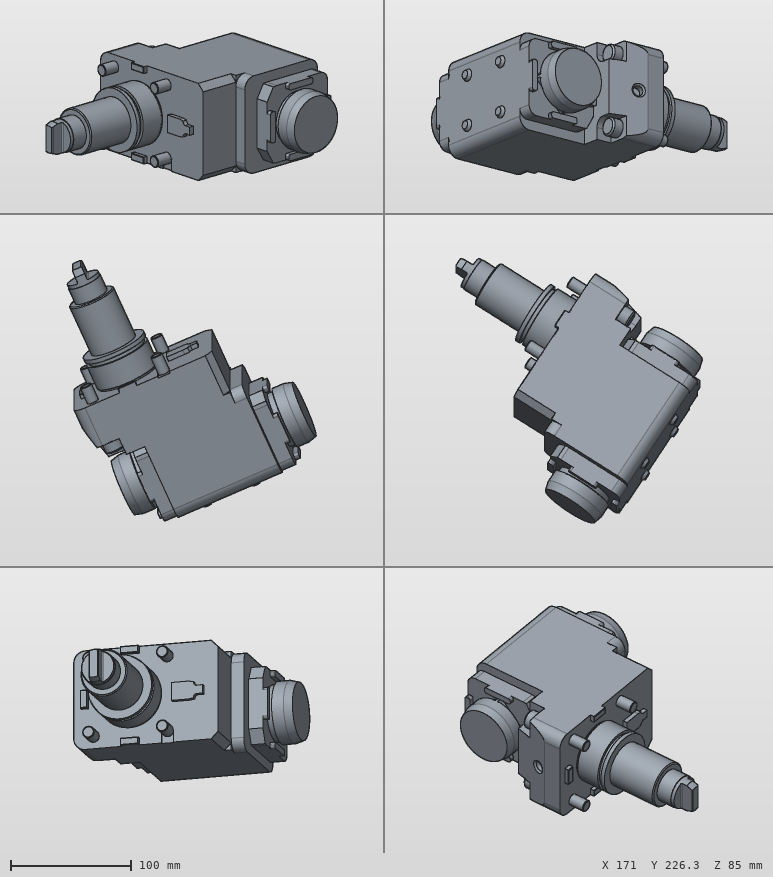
import cadquery as cq
import math


BODY_HEIGHT = 85.0
HALF_HEIGHT = BODY_HEIGHT / 2
CORNER_RADIUS = 10.0
BACK_Y = 119.1

FLANGE_LEFT = -49.2
FLANGE_RIGHT = 76.0
FLANGE_REAR_Y = 37.0
SHOULDER_X = -24.0
SHOULDER_Y = 50.5
SLANT_START_Y = 16.3
SLANT_ANGLE = 15.0
FLANGE_CORNER_CHAMFER = 6.0

HOUSING_CENTER_X = 39.7
HOUSING_HALF_WIDTH = 47.2

BOLT_OFFSET = 32.0
BOLT_DIAMETER = 10.0
BOLT_PROTRUSION = 14.8
BOLT_TIP_CHAMFER = 0.6
SCREW_HEAD_DIAMETER = 16.0
SCREW_HEAD_HEIGHT = 10.0
SCREW_HEAD_CHAMFER = 1.4
SCREW_SEAT_Y = 35.5
RELIEF_WIDTH = 10.5
RELIEF_DEPTH = 1.6

KEY_HEIGHT = 4.0
KEY_LENGTH = 15.4
KEY_WIDTH = 6.0
KEY_EDGE_CHAMFER = 0.5
SIDE_KEY_X = -39.4

PORT_Y = 24.6
PORT_DIAMETER = 8.8
PORT_MOUTH_DIAMETER = 12.0
PORT_DEPTH = 8.0

OUTPUT_Y = 85.0
PLATE_HALF_SIZE = 33.7
PLATE_THICKNESS = 12.2
PLATE_CORNER_RADIUS = 8.0
PLATE_CHAMFER_Y = 7.0
PLATE_CHAMFER_Z = 12.1
PLATE_BEVEL_LENGTH = 3.4
PLATE_BEVEL_DROP = 0.4
TAB_LENGTH = 27.2
TAB_WIDTH = 5.6
TAB_HEIGHT = 4.2
TAB_CORNER_RADIUS = 2.2
NECK_LENGTH = 5.2
LEFT_NECK_DIAMETER = 53.0
LEFT_NECK_FLAT_DISTANCE = 19.5
RIGHT_NECK_DIAMETER = 48.0
NUT_DIAMETER = 53.0
NUT_FACE_DIAMETER = 49.0
NUT_LENGTH = 17.5
NUT_TAPER_LENGTH = 7.2

PLUG_OFFSET = 22.0
PLUG_BASE_RADIUS = 5.25
PLUG_TIP_RADIUS = 3.6
PLUG_HEIGHT = 3.0

COLLAR_RELIEF_RADIUS = 26.5
COLLAR_RADIUS = 27.5
GROOVE_RADIUS = 25.1
SHANK_RADIUS = 20.0
NOSE_RADIUS = 14.5
TANG_RADIUS = 14.0
COLLAR_RELIEF_Y = -1.6
COLLAR_Y = -22.8
GROOVE_Y = -26.2
LIP_Y = -29.8
SHANK_Y = -75.0
SHANK_CHAMFER = 1.0
NOSE_Y = -89.2
NOSE_FACE_Y = -92.4
TIP_Y = -104.2
TANG_THICKNESS = 8.4
TANG_ROOT_FILLET = 1.0
TANG_SLOPE_LENGTH = 6.0
TANG_SLOPE_DROP = 2.2
TANG_TIP_CHAMFER = 0.8


def box(x_range, y_range, z_range):
    """Block spanning the given coordinate ranges."""
    spans = [high - low for low, high in (x_range, y_range, z_range)]
    corner = (x_range[0], y_range[0], z_range[0])
    return cq.Workplane("XY").box(*spans, centered=False).translate(corner)


def disc_along_y(x, z, y_start, y_end, radius):
    """Cylinder with its axis along Y."""
    start = cq.Vector(x, y_start, z)
    direction = cq.Vector(0, y_end - y_start, 0)
    return cq.Workplane(cq.Solid.makeCylinder(radius, abs(y_end - y_start), start, direction))


def make_body():
    """Flange and gear housing from one extruded plan outline."""
    housing_left = HOUSING_CENTER_X - HOUSING_HALF_WIDTH
    housing_right = HOUSING_CENTER_X + HOUSING_HALF_WIDTH
    slant_run = (SHOULDER_Y - SLANT_START_Y) * math.tan(math.radians(SLANT_ANGLE))
    outline = [
        (FLANGE_LEFT, 0),
        (FLANGE_RIGHT, 0),
        (FLANGE_RIGHT, FLANGE_REAR_Y),
        (housing_right, FLANGE_REAR_Y),
        (housing_right, BACK_Y),
        (housing_left, BACK_Y),
        (housing_left, SHOULDER_Y),
        (FLANGE_LEFT + slant_run, SHOULDER_Y),
        (FLANGE_LEFT, SLANT_START_Y),
    ]
    body = (
        cq.Workplane("XY", origin=(0, 0, -HALF_HEIGHT))
        .polyline(outline)
        .close()
        .extrude(BODY_HEIGHT)
    )
    flange_envelope = box(
        (FLANGE_LEFT, FLANGE_RIGHT), (0, BACK_Y), (-HALF_HEIGHT, HALF_HEIGHT)
    )
    flange_envelope = flange_envelope.edges("|Y and <X").fillet(CORNER_RADIUS)
    flange_envelope = flange_envelope.edges("|Y and >X").chamfer(FLANGE_CORNER_CHAMFER)
    housing_envelope = box(
        (FLANGE_LEFT, housing_right), (FLANGE_REAR_Y, BACK_Y), (-HALF_HEIGHT, HALF_HEIGHT)
    )
    housing_envelope = housing_envelope.edges("|X").fillet(CORNER_RADIUS)
    flange_part = flange_envelope.intersect(
        box((FLANGE_LEFT, FLANGE_RIGHT), (0, SHOULDER_Y), (-HALF_HEIGHT, HALF_HEIGHT))
    )
    housing_part = housing_envelope.intersect(
        box((housing_left, housing_right), (FLANGE_REAR_Y, BACK_Y), (-HALF_HEIGHT, HALF_HEIGHT))
    )
    bridge = box(
        (housing_left, FLANGE_RIGHT), (FLANGE_REAR_Y, SHOULDER_Y), (-HALF_HEIGHT, HALF_HEIGHT)
    )
    return body.intersect(flange_part.union(housing_part).union(bridge))


def make_screw_pocket(side):
    """Open corner pocket above one left-hand screw; side is +1 (top) or -1 (bottom)."""
    radius = SCREW_HEAD_DIAMETER / 2
    inner_z = BOLT_OFFSET - radius
    pocket = box((FLANGE_LEFT, SHOULDER_X), (SCREW_SEAT_Y, BACK_Y), (inner_z, HALF_HEIGHT))
    pocket = pocket.edges("|Y and >X and <Z").fillet(radius)
    if side < 0:
        pocket = pocket.mirror("XY")
    return pocket


def make_screws():
    """Four clamping screws: tips at the front, heads in the left-hand pockets."""
    screws = cq.Workplane("XY")
    for z in (-BOLT_OFFSET, BOLT_OFFSET):
        for x in (-BOLT_OFFSET, BOLT_OFFSET):
            tip = disc_along_y(x, z, RELIEF_DEPTH, -BOLT_PROTRUSION, BOLT_DIAMETER / 2)
            screws = screws.add(tip.faces("<Y").chamfer(BOLT_TIP_CHAMFER))
        head_top = SCREW_SEAT_Y + SCREW_HEAD_HEIGHT
        head = disc_along_y(-BOLT_OFFSET, z, SCREW_SEAT_Y, head_top, SCREW_HEAD_DIAMETER / 2)
        screws = screws.add(head.faces(">Y").chamfer(SCREW_HEAD_CHAMFER))
    return screws


def make_relief_slot():
    """Shallow slot in the mounting face from the lower right screw to the bottom edge."""
    half_width = RELIEF_WIDTH / 2
    return box(
        (BOLT_OFFSET - half_width, BOLT_OFFSET + half_width),
        (0, RELIEF_DEPTH),
        (-HALF_HEIGHT, -BOLT_OFFSET),
    )


def make_port():
    """Countersunk hole drilled square to the slanted flank."""
    angle = math.radians(SLANT_ANGLE)
    mouth_x = FLANGE_LEFT + (PORT_Y - SLANT_START_Y) * math.tan(angle)
    mouth = cq.Vector(mouth_x, PORT_Y, 0)
    inward = cq.Vector(math.cos(angle), -math.sin(angle), 0)
    radius = PORT_DIAMETER / 2
    mouth_radius = PORT_MOUTH_DIAMETER / 2
    bore = cq.Solid.makeCylinder(radius, PORT_DEPTH, mouth, inward)
    sink = cq.Solid.makeCone(mouth_radius, radius, mouth_radius - radius, mouth, inward)
    return cq.Workplane(bore).union(cq.Workplane(sink))


def make_keys():
    """Top, bottom and left keys plus the stepped right key on the mounting face."""
    half_length = KEY_LENGTH / 2
    upright = (-KEY_HEIGHT, 0)
    key_inner_z = HALF_HEIGHT - KEY_WIDTH
    keys = [
        box((-half_length, half_length), upright, (key_inner_z, HALF_HEIGHT)),
        box((-half_length, half_length), upright, (-HALF_HEIGHT, -key_inner_z)),
        box(
            (SIDE_KEY_X - KEY_WIDTH / 2, SIDE_KEY_X + KEY_WIDTH / 2),
            upright,
            (-half_length, half_length),
        ),
    ]
    merged = cq.Workplane("XY")
    for key in keys:
        merged = merged.add(key.faces("<Y").chamfer(KEY_EDGE_CHAMFER))
    return merged.add(make_stepped_key())


def make_stepped_key():
    """Bottle-shaped key whose neck points to +X."""
    left = 36.7
    body_end = 51.4
    shoulder_end = 55.8
    neck_start = 58.2
    right = 63.9
    half_body = KEY_LENGTH / 2
    half_shoulder = 7.0
    half_neck = 3.6
    waist = (56.8, 4.5)
    return (
        cq.Workplane("XZ")
        .moveTo(left, -half_body)
        .lineTo(body_end, -half_body)
        .lineTo(shoulder_end, -half_shoulder)
        .threePointArc((waist[0], -waist[1]), (neck_start, -half_neck))
        .lineTo(right, -half_neck)
        .lineTo(right, half_neck)
        .lineTo(neck_start, half_neck)
        .threePointArc(waist, (shoulder_end, half_shoulder))
        .lineTo(body_end, half_body)
        .lineTo(left, half_body)
        .close()
        .extrude(KEY_HEIGHT)
    )


def make_spindle():
    """Turned shank below the mounting face with a flat drive tang at its tip."""
    profile = [
        (0, 0),
        (COLLAR_RELIEF_RADIUS, 0),
        (COLLAR_RELIEF_RADIUS, COLLAR_RELIEF_Y),
        (COLLAR_RADIUS, COLLAR_RELIEF_Y),
        (COLLAR_RADIUS, COLLAR_Y),
        (GROOVE_RADIUS, COLLAR_Y),
        (GROOVE_RADIUS, GROOVE_Y),
        (COLLAR_RADIUS, GROOVE_Y),
        (COLLAR_RADIUS, LIP_Y),
        (SHANK_RADIUS, LIP_Y),
        (SHANK_RADIUS, SHANK_Y + SHANK_CHAMFER),
        (SHANK_RADIUS - SHANK_CHAMFER, SHANK_Y),
        (NOSE_RADIUS, SHANK_Y),
        (NOSE_RADIUS, NOSE_Y),
        (TANG_RADIUS, NOSE_Y),
        (TANG_RADIUS, TIP_Y + TANG_SLOPE_LENGTH),
        (TANG_RADIUS - TANG_SLOPE_DROP, TIP_Y),
        (0, TIP_Y),
    ]
    spindle = cq.Workplane("XY").polyline(profile).close().revolve(360, (0, 0, 0), (0, 1, 0))
    half_tang = TANG_THICKNESS / 2
    for low, high in ((half_tang, NOSE_RADIUS), (-NOSE_RADIUS, -half_tang)):
        root_edge = "<X" if low > 0 else ">X"
        waste = box((low, high), (TIP_Y, NOSE_FACE_Y), (-NOSE_RADIUS, NOSE_RADIUS))
        waste = waste.edges(f"|Z and >Y and {root_edge}").fillet(TANG_ROOT_FILLET)
        spindle = spindle.cut(waste)
    tip_edges = spindle.faces("<Y").edges("|Z")
    return tip_edges.chamfer(TANG_TIP_CHAMFER)


def make_plate(inner_x, outer_x):
    """Cover plate with rounded rear corners and bevelled, steep chamfers at the front corners."""
    rear = BACK_Y
    front = 2 * OUTPUT_Y - rear
    half = PLATE_HALF_SIZE
    chamfer_end = front + PLATE_CHAMFER_Y
    bevel_end = chamfer_end + PLATE_BEVEL_LENGTH
    outline = [
        (front, -half + PLATE_CHAMFER_Z),
        (chamfer_end, -half + PLATE_BEVEL_DROP),
        (bevel_end, -half),
        (rear, -half),
        (rear, half),
        (bevel_end, half),
        (chamfer_end, half - PLATE_BEVEL_DROP),
        (front, half - PLATE_CHAMFER_Z),
    ]
    plate = cq.Workplane("YZ").polyline(outline).close().extrude(outer_x - inner_x)
    plate = plate.edges("|X and >Y").fillet(PLATE_CORNER_RADIUS)
    return plate.translate((inner_x, 0, 0))


def make_tabs(face_x):
    """Four raised tabs around the plate face, rounded on all corners."""
    reach = BACK_Y - OUTPUT_Y
    half_length = TAB_LENGTH / 2
    tabs = cq.Workplane("XY")
    for angle in (0, 90, 180, 270):
        limit = reach if angle in (0, 180) else PLATE_HALF_SIZE
        tab = box((face_x, face_x + TAB_HEIGHT), (limit - TAB_WIDTH, limit), (-half_length, half_length))
        tab = tab.edges("|X").fillet(TAB_CORNER_RADIUS)
        tabs = tabs.add(tab.rotate((0, 0, 0), (1, 0, 0), angle))
    return tabs.translate((0, OUTPUT_Y, 0))


def make_nut(base_x):
    """Clamping nut with a tapered outer end, pointing to +X."""
    radius = NUT_DIAMETER / 2
    end = base_x + NUT_LENGTH
    profile = [
        (base_x, 0),
        (base_x, radius),
        (end - NUT_TAPER_LENGTH, radius),
        (end, NUT_FACE_DIAMETER / 2),
        (end, 0),
    ]
    nut = cq.Workplane("XY").polyline(profile).close().revolve(360, (0, 0, 0), (1, 0, 0))
    return nut.translate((0, OUTPUT_Y, 0))


def make_right_neck(start_x):
    """Plain round neck between plate and nut."""
    neck = cq.Workplane("YZ").circle(RIGHT_NECK_DIAMETER / 2).extrude(NECK_LENGTH)
    return neck.translate((start_x, OUTPUT_Y, 0))


def make_left_neck(start_x):
    """Round neck with four wrench flats at 45 degrees."""
    radius = LEFT_NECK_DIAMETER / 2
    neck = cq.Workplane("YZ").circle(radius).extrude(NECK_LENGTH)
    for angle in (45, 135, 225, 315):
        waste = box((0, NECK_LENGTH), (LEFT_NECK_FLAT_DISTANCE, radius), (-radius, radius))
        neck = neck.cut(waste.rotate((0, 0, 0), (1, 0, 0), angle))
    return neck.translate((start_x, OUTPUT_Y, 0))


def make_output(neck_builder):
    """One output end built about X = 0, pointing to +X."""
    face_x = HOUSING_HALF_WIDTH + PLATE_THICKNESS
    output = make_plate(HOUSING_HALF_WIDTH, face_x)
    output = output.union(make_tabs(face_x))
    output = output.union(neck_builder(face_x))
    return output.union(make_nut(face_x + NECK_LENGTH))


def make_plugs():
    """Four conical screw plugs on the rear face."""
    plugs = cq.Workplane("XY")
    for x in (HOUSING_CENTER_X - PLUG_OFFSET, HOUSING_CENTER_X + PLUG_OFFSET):
        for z in (-PLUG_OFFSET, PLUG_OFFSET):
            base = cq.Vector(x, BACK_Y, z)
            plug = cq.Solid.makeCone(
                PLUG_BASE_RADIUS, PLUG_TIP_RADIUS, PLUG_HEIGHT, base, cq.Vector(0, 1, 0)
            )
            plugs = plugs.add(cq.Workplane(plug))
    return plugs


def add_all(base, parts):
    """Fuse every solid held by parts onto base."""
    for solid in parts.vals():
        base = base.union(cq.Workplane(solid))
    return base


part = make_body()
for pocket_side in (-1, 1):
    part = part.cut(make_screw_pocket(pocket_side))
part = part.cut(make_relief_slot())
part = part.cut(make_port())

right_output = make_output(make_right_neck).translate((HOUSING_CENTER_X, 0, 0))
left_output = make_output(make_left_neck).mirror("YZ").translate((HOUSING_CENTER_X, 0, 0))
part = part.union(right_output).union(left_output)

part = part.union(make_spindle())
part = add_all(part, make_screws())
part = add_all(part, make_keys())
part = add_all(part, make_plugs())

result = part